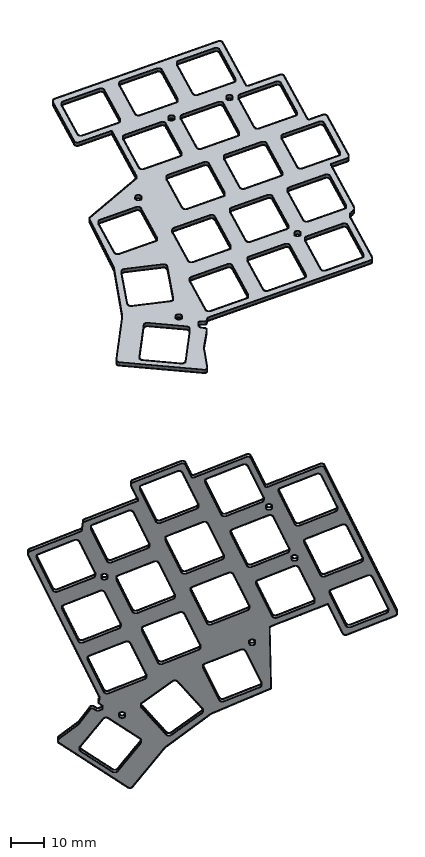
import cadquery as cq
import math

plate_depth = 95.5
plate_thickness = 1.8

grid_width = 94.2
key_footprint = 18.0
cutout_size = 14.1
cutout_radius = 1.1
rows = 3
column_drops = [17.9, 5.9, 0.0, 6.4, 9.0]
border = key_footprint / 2
key_pitch = (grid_width - key_footprint) / (len(column_drops) - 1)

thumb_keys = [
    (54.4, 22.8, 0),
    (75.6, 20.0, 15),
    (97.8, 16.0, 30),
]

hole_diameter = 2.0
hole_centers = [(20.8, 71.2), (20.8, 52.0), (76.1, 69.5), (44.3, 30.8), (90.4, 24.0)]

outer_radius = 1.0
inner_radius = 0.6
notch_radius = 0.8
thumb_tip_radius = 0.9
sharp = 0.0

column_x = [border + index * key_pitch for index in range(len(column_drops))]
top_key_y = [plate_depth - border - drop for drop in column_drops]
column_top = [y + border for y in top_key_y]
column_bottom = [y - (rows - 1) * key_pitch - border for y in top_key_y]
column_left = [x - border for x in column_x]
column_right = [x + border for x in column_x]

outline = [
    (column_left[0], column_bottom[0], outer_radius),
    (column_left[0], column_top[0], outer_radius),
    (column_left[1], column_top[0], inner_radius),
    (column_left[1], column_top[1], outer_radius),
    (column_left[2], column_top[1], inner_radius),
    (column_left[2], column_top[2], outer_radius),
    (column_right[2], column_top[2], outer_radius),
    (column_right[2], column_top[3], sharp),
    (74.5, column_top[3], outer_radius),
    (75.9, column_top[4], outer_radius),
    (column_right[4], column_top[4], outer_radius),
    (column_right[4], 31.8, inner_radius),
    (95.3, 30.9, inner_radius),
    (94.2, 28.2, notch_radius),
    (96.7, 28.2, notch_radius),
    (97.8, 30.1, notch_radius),
    (103.7, 26.4, sharp),
    (112.3, 24.0, thumb_tip_radius),
    (98.4, -0.3, outer_radius),
    (83.0, 8.5, sharp),
    (65.6, 13.4, sharp),
    (45.4, 14.0, inner_radius),
    (37.3, column_bottom[1], outer_radius),
    (column_right[0], column_bottom[1], sharp),
    (column_right[0], column_bottom[0], outer_radius),
]


def rounded_polygon(corners):
    """Closed wire through the corners, each one rounded by a tangent arc of its own radius."""
    path = None
    for index, (x, y, radius) in enumerate(corners):
        corner = cq.Vector(x, y)
        before = cq.Vector(*corners[index - 1][:2])
        after = cq.Vector(*corners[(index + 1) % len(corners)][:2])
        to_before = (before - corner).normalized()
        to_after = (after - corner).normalized()
        half_angle = to_before.getAngle(to_after) / 2
        tangent_length = radius / math.tan(half_angle)
        arc_start = corner + to_before * tangent_length
        if path is None:
            path = cq.Workplane("XY").moveTo(arc_start.x, arc_start.y)
        else:
            path = path.lineTo(arc_start.x, arc_start.y)
        if radius > 0:
            bisector = (to_before + to_after).normalized()
            arc_middle = corner + bisector * (radius / math.sin(half_angle) - radius)
            arc_end = corner + to_after * tangent_length
            path = path.threePointArc((arc_middle.x, arc_middle.y), (arc_end.x, arc_end.y))
    return path.close()


def switch_cutout(x, y, tilt=0):
    """Square switch opening with rounded corners, tilted clockwise about its centre."""
    return (
        cq.Workplane("XY")
        .rect(cutout_size, cutout_size)
        .extrude(plate_thickness)
        .edges("|Z")
        .fillet(cutout_radius)
        .rotate((0, 0, 0), (0, 0, 1), -tilt)
        .translate((x, y, 0))
    )


plate = rounded_polygon(outline).extrude(plate_thickness)

for x, top_y in zip(column_x, top_key_y):
    for row in range(rows):
        plate = plate.cut(switch_cutout(x, top_y - row * key_pitch))

for x, y, tilt in thumb_keys:
    plate = plate.cut(switch_cutout(x, y, tilt))

holes = cq.Workplane("XY").pushPoints(hole_centers).circle(hole_diameter / 2).extrude(plate_thickness)

result = plate.cut(holes)